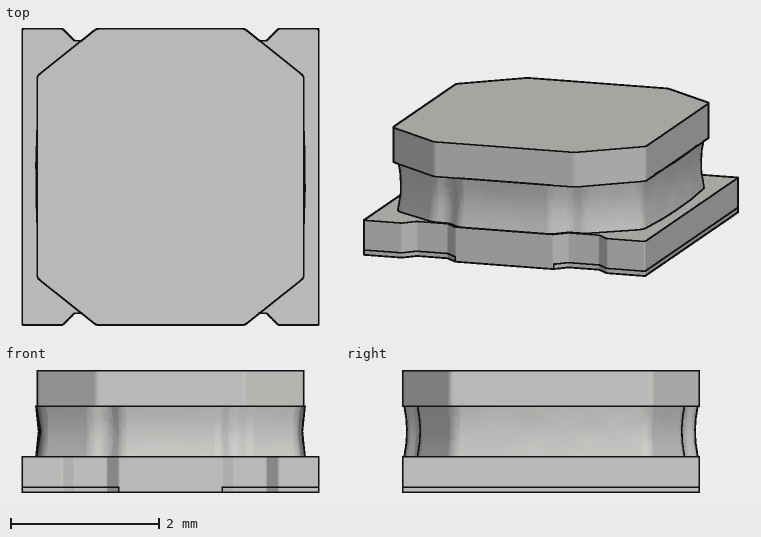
import cadquery as cq

size = 4.0
base_height = 0.48
waist_height = 0.68
lid_height = 0.48
half = size / 2

notch_depth = 0.16
notch_outer_x = 1.455
notch_inner_x = 0.695
base_corner_radius = 0.02
notch_mouth_radius = 0.05
notch_floor_radius = 0.03

terminal_thickness = 0.07
terminal_inner_x = 0.7

lid_half_x = 1.8
lid_chamfer_x = 0.8
lid_chamfer_y = 0.64
lid_radius = 0.1

waist_half_x = 1.815
waist_half_y = 1.98
waist_corner_x = 1.75
waist_corner_y = 1.33
waist_shoulder_x = 1.09
waist_step_x = 0.67
waist_step_depth = 0.18
waist_corner_radius = 0.22
waist_step_radius = 0.18
waist_inset = 0.035


def mirrored_loop(quarter):
    """Closed loop of points from one quadrant, listed from the Y side round to the X side."""
    right_half = quarter + [(x, -y) for x, y in reversed(quarter)]
    left_half = [(-x, y) for x, y in reversed(right_half)]
    return right_half + left_half


def round_corners(body, corners, radius):
    """Fillet the vertical edges standing at the given corners of one quadrant and their mirrors."""
    tolerance = 0.0005

    def at_corner(edge):
        center = edge.Center()
        return any(
            abs(abs(center.x) - x) < tolerance and abs(abs(center.y) - y) < tolerance
            for x, y in corners
        )

    edges = [edge for edge in body.edges("|Z").vals() if at_corner(edge)]
    return body.newObject(edges).fillet(radius)


def make_footprint():
    """Notched plate shared by the base and its terminals."""
    floor_y = half - notch_depth
    inner_mouth = (notch_inner_x, half)
    inner_floor = (notch_inner_x + notch_depth, floor_y)
    outer_floor = (notch_outer_x - notch_depth, floor_y)
    outer_mouth = (notch_outer_x, half)
    corner = (half, half)
    outline = mirrored_loop([inner_mouth, inner_floor, outer_floor, outer_mouth, corner])
    plate = cq.Workplane("XY").polyline(outline).close().extrude(base_height)
    plate = round_corners(plate, [inner_mouth, outer_mouth], notch_mouth_radius)
    plate = round_corners(plate, [inner_floor, outer_floor], notch_floor_radius)
    return round_corners(plate, [corner], base_corner_radius)


def terminal_space(side):
    """Block under one X side of the base (side is -1 or 1) that its terminal fills."""
    length = half - terminal_inner_x
    return (
        cq.Workplane("XY")
        .box(length, size, terminal_thickness, centered=(True, True, False))
        .translate((side * (terminal_inner_x + length / 2), 0, 0))
    )


def make_terminal(side):
    return make_footprint().intersect(terminal_space(side))


def make_base():
    base = make_footprint()
    for side in (-1, 1):
        base = base.cut(terminal_space(side))
    return base


def make_waist():
    """Layer between base and lid, with walls that curve inward at mid height."""
    shoulder_y = waist_half_y - waist_step_depth
    front = (waist_step_x, waist_half_y)
    step = (waist_step_x + waist_step_depth, shoulder_y)
    shoulder = (waist_shoulder_x, shoulder_y)
    corner = (waist_corner_x, waist_corner_y)
    bulge = waist_half_x - waist_corner_x
    side_radius = (waist_corner_y**2 + bulge**2) / (2 * bulge)
    blank = (
        cq.Workplane("XY")
        .moveTo(0, waist_half_y)
        .lineTo(*front)
        .lineTo(*step)
        .lineTo(*shoulder)
        .lineTo(*corner)
        .radiusArc((waist_half_x, 0), side_radius)
        .mirrorX()
        .mirrorY()
        .extrude(waist_height)
    )
    blank = round_corners(blank, [front, step], waist_step_radius)
    blank = round_corners(blank, [shoulder, corner], waist_corner_radius)

    rim = blank.faces("<Z").wires().val()
    throat = rim.offset2D(-waist_inset)[0]
    sections = [
        rim.translate(cq.Vector(0, 0, base_height)),
        throat.translate(cq.Vector(0, 0, base_height + waist_height / 2)),
        rim.translate(cq.Vector(0, 0, base_height + waist_height)),
    ]
    return cq.Workplane(cq.Solid.makeLoft(sections))


def make_lid():
    front = (lid_half_x - lid_chamfer_x, half)
    side = (lid_half_x, half - lid_chamfer_y)
    lid = (
        cq.Workplane("XY")
        .workplane(offset=base_height + waist_height)
        .polyline(mirrored_loop([front, side]))
        .close()
        .extrude(lid_height)
    )
    return round_corners(lid, [front, side], lid_radius)


base = make_base()
terminals = [make_terminal(side) for side in (-1, 1)]
waist = make_waist()
lid = make_lid()

result = cq.Compound.makeCompound(
    [base.val(), *[terminal.val() for terminal in terminals], waist.val(), lid.val()]
)